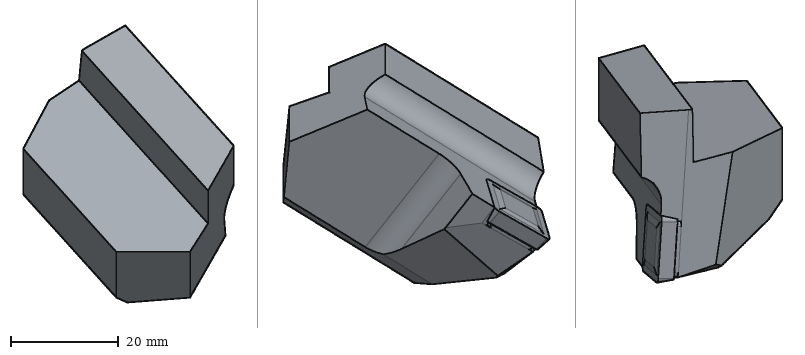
import cadquery as cq
import math


def tan_deg(angle):
    return math.tan(math.radians(angle))


def sin_deg(angle):
    return math.sin(math.radians(angle))


def cos_deg(angle):
    return math.cos(math.radians(angle))


top_z = 23.0
depth = 28.88
tongue_width = 10.0
shelf_root_z = 13.0
shelf_angle = 8.0
front_face_bottom_z = 1.76
front_chamfer = 3.0
belly_angle = 30.0
head_bottom_z = -9.62

nose_x = 44.39
nose_y = -17.0
nose_half_angle = 60.0
front_left_x = 7.84
front_left_angle = 33.5

head_right_x = 13.25
head_right_angle = 20.0
underside_fillet = 5.0

lead_angle = 6.0
seat_tilt = 5.0
seat_top_y = -9.19
tip_z = -8.4
side_relief = 8.0
end_relief = 11.2
corner_relief = 18.0

hollow_radius = 5.2
hollow_height = 13.6

plate_thickness = 0.8
plate_relief = 5.0
plate_nose_radius = 1.0

insert_size = 12.7
insert_thickness = 3.18
insert_relief = 11.0
insert_nose_radius = 1.0
insert_ledge = 0.35
island_height = 0.3
island_base = 10.0
island_top = 7.5

margin = 60.0

rake_height = plate_thickness + insert_thickness
insert_back_size = insert_size - 2 * insert_thickness * tan_deg(insert_relief)
plate_size = insert_back_size - 2 * insert_ledge
plate_back_size = plate_size - 2 * plate_thickness * tan_deg(plate_relief)

tip_drop = top_z - tip_z
tip = cq.Vector(
    -tip_drop * tan_deg(lead_angle) / cos_deg(seat_tilt),
    seat_top_y + tip_drop * tan_deg(seat_tilt),
    tip_z,
)
seat_normal = cq.Vector(0, cos_deg(seat_tilt), sin_deg(seat_tilt))
end_edge = cq.Vector(
    cos_deg(lead_angle),
    sin_deg(lead_angle) * sin_deg(seat_tilt),
    -sin_deg(lead_angle) * cos_deg(seat_tilt),
)
side_edge = end_edge.cross(seat_normal)


def side_profile():
    """Cross-section of the block, extruded along X."""
    shelf_front_z = shelf_root_z + (depth - tongue_width) * tan_deg(shelf_angle)
    belly_y = -depth + front_chamfer
    belly_z = front_face_bottom_z - front_chamfer
    belly_end_y = belly_y + (belly_z - head_bottom_z) / tan_deg(belly_angle)
    outline = [
        (0, top_z),
        (-tongue_width, top_z),
        (-tongue_width, shelf_root_z),
        (-depth, shelf_front_z),
        (-depth, front_face_bottom_z),
        (belly_y, belly_z),
        (belly_end_y, head_bottom_z),
        (0, head_bottom_z),
    ]
    return cq.Workplane("YZ").polyline(outline).close().extrude(margin, both=True)


def plan_profile():
    """Plan outline with the pointed right end and the sloping front left face."""
    back_right_x = nose_x + nose_y / tan_deg(nose_half_angle)
    front_right_x = nose_x - (depth + nose_y) / tan_deg(nose_half_angle)
    outline = [
        (back_right_x, 0),
        (nose_x, nose_y),
        (front_right_x, -depth),
        (front_left_x, -depth),
        (front_left_x - depth * tan_deg(front_left_angle), 0),
    ]
    return cq.Workplane("XY").polyline(outline).close().extrude(margin, both=True)


def shank_clearance():
    """Space under the shank, rounded where it meets the head."""
    root_x = head_right_x - head_bottom_z * tan_deg(head_right_angle)
    low_x = root_x - margin * tan_deg(head_right_angle)
    outline = [(root_x, 0), (margin, 0), (margin, -margin), (low_x, -margin)]
    space = cq.Workplane("XZ").polyline(outline).close().extrude(margin)
    root = cq.selectors.NearestToPointSelector((root_x, -margin / 2, 0))
    return space.edges(root).fillet(underside_fillet)


def beyond_tip(outward):
    """Everything on the outer side of a plane through the tip."""
    plane = cq.Plane(origin=tip, normal=outward)
    return cq.Workplane(plane).rect(2 * margin, 2 * margin).extrude(margin)


def relief_normal(edge_normal, angle):
    return edge_normal * cos_deg(angle) - seat_normal * sin_deg(angle)


def hollow():
    """Cut flush with the insert's rake face, ending in a round runout above the insert."""
    along = cq.Vector(1, 0, 0)
    up = along.cross(seat_normal)
    start = tip + up * hollow_height + seat_normal * rake_height
    flat_plane = cq.Plane(origin=start, xDir=up, normal=seat_normal)
    flat = cq.Workplane(flat_plane).center(-margin / 2, 0).rect(margin, 2 * margin).extrude(margin)
    axis_plane = cq.Plane(origin=start + seat_normal * hollow_radius, normal=along)
    runout = cq.Workplane(axis_plane).circle(hollow_radius).extrude(margin, both=True)
    return flat.union(runout)


def above_seat(height):
    """Workplane on the insert's centre line, facing into the seat."""
    centre = tip + (end_edge + side_edge) * (plate_back_size / 2) + seat_normal * height
    return cq.Workplane(cq.Plane(origin=centre, xDir=end_edge, normal=seat_normal * -1))


def relieved_square(height, size, thickness, relief, nose_radius):
    """Square plate with rounded corners that shrinks towards the seat."""
    square = cq.Sketch().rect(size, size).vertices().fillet(nose_radius)
    return above_seat(height).placeSketch(square).extrude(thickness, taper=relief)


def make_insert():
    """Square insert with relieved sides and a raised island on its rake face."""
    blank = relieved_square(rake_height, insert_size, insert_thickness, insert_relief, insert_nose_radius)
    island = (
        above_seat(rake_height)
        .rect(island_base, island_base)
        .workplane(offset=-island_height)
        .rect(island_top, island_top)
        .loft()
    )
    return blank.union(island)


def seat_pocket():
    """Square pocket for the seat plate, as deep as the plate."""
    return above_seat(plate_thickness).rect(plate_back_size, plate_back_size).extrude(plate_thickness)


def make_holder(insert):
    along_y = cq.Vector(0, 1, 0)
    corner_normal = (end_edge + side_edge).normalized() * -1
    outer_normals = [
        side_edge.cross(along_y),
        along_y.cross(end_edge),
        relief_normal(end_edge * -1, side_relief),
        relief_normal(side_edge * -1, end_relief),
        relief_normal(corner_normal, corner_relief),
    ]
    block = side_profile().intersect(plan_profile()).cut(shank_clearance())
    for outward in outer_normals:
        block = block.cut(beyond_tip(outward))
    plate = relieved_square(plate_thickness, plate_size, plate_thickness, plate_relief, plate_nose_radius)
    return block.cut(hollow()).cut(seat_pocket()).union(plate).cut(insert)


insert = make_insert()
holder = make_holder(insert)
result = cq.Compound.makeCompound([holder.val(), insert.val()])